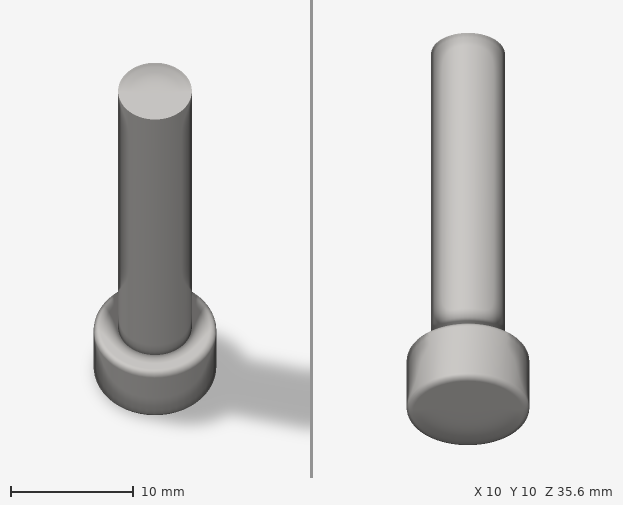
import cadquery as cq

total_length = 35.6
head_diameter = 10.0
head_height = 5.6
head_edge_radius = 0.5
shank_diameter = 6.0

shank_length = total_length - head_height

head = (
    cq.Workplane("XY")
    .circle(head_diameter / 2)
    .extrude(head_height)
    .edges("%CIRCLE")
    .fillet(head_edge_radius)
)

shank = (
    cq.Workplane("XY")
    .workplane(offset=head_height)
    .circle(shank_diameter / 2)
    .extrude(shank_length)
)

result = head.union(shank)